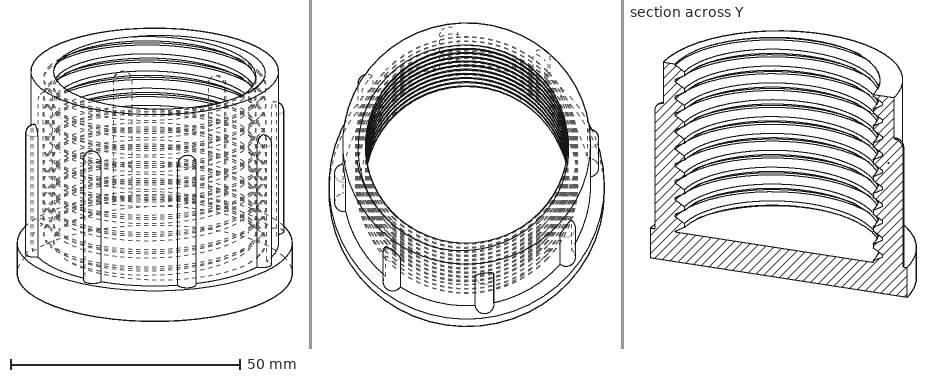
import cadquery as cq
import math

flange_diameter = 60.0
body_diameter = 54.0
total_height = 47.0
flange_height = 7.15

rib_count = 8
rib_radius = 2.05
rib_shoulder_height = 35.15

bore_diameter = 44.1
three_turn_advance = 12.0
pitch = three_turn_advance / 3
flank_half_angle = math.radians(30)
sharp_v_height = pitch / 2 / math.tan(flank_half_angle)
thread_depth = sharp_v_height * 5 / 8
root_width = pitch / 8
overlap = 0.1
floor_height = flange_height

bore_radius = bore_diameter / 2
root_radius = bore_radius + thread_depth
cutter_radius = bore_radius - overlap
mouth_half_width = root_width / 2 + (thread_depth + overlap) * math.tan(flank_half_angle)


def make_shell():
    """Flanged cylinder with a plain blind bore."""
    flange = cq.Workplane("XY").circle(flange_diameter / 2).extrude(flange_height)
    body = cq.Workplane("XY").circle(body_diameter / 2).extrude(total_height)
    bore = (
        cq.Workplane("XY", origin=(0, 0, floor_height))
        .circle(bore_radius)
        .extrude(total_height - floor_height)
    )
    return flange.union(body).cut(bore)


def make_rib(angle):
    """Upright round rib with a domed top; its inner part lies in the wall."""
    rib = cq.Workplane("XY").circle(rib_radius).extrude(rib_shoulder_height)
    dome = cq.Workplane("XY").sphere(rib_radius).translate((0, 0, rib_shoulder_height))
    return rib.union(dome).translate((body_diameter / 2, 0, 0)).rotate((0, 0, 0), (0, 0, 1), angle)


def make_ribs():
    """Equally spaced ribs around the body."""
    ribs = make_rib(0)
    for index in range(1, rib_count):
        ribs = ribs.union(make_rib(index * 360 / rib_count))
    return ribs


def make_thread_groove():
    """Right-hand helical groove, centred on +X at the rim and ending at the floor."""
    turns = math.ceil((total_height - floor_height) / pitch) + 2
    start_height = total_height - (turns - 1) * pitch
    helix = cq.Wire.makeHelix(pitch, turns * pitch, bore_radius)
    profile = cq.Workplane("XZ").polyline([
        (cutter_radius, -mouth_half_width),
        (root_radius, -root_width / 2),
        (root_radius, root_width / 2),
        (cutter_radius, mouth_half_width),
    ]).close()
    groove = profile.sweep(cq.Workplane(obj=helix), isFrenet=True)
    envelope = (
        cq.Workplane("XY", origin=(0, 0, floor_height))
        .circle(body_diameter / 2)
        .extrude(total_height - floor_height)
    )
    return groove.translate((0, 0, start_height)).intersect(envelope)


result = make_shell().union(make_ribs()).cut(make_thread_groove())